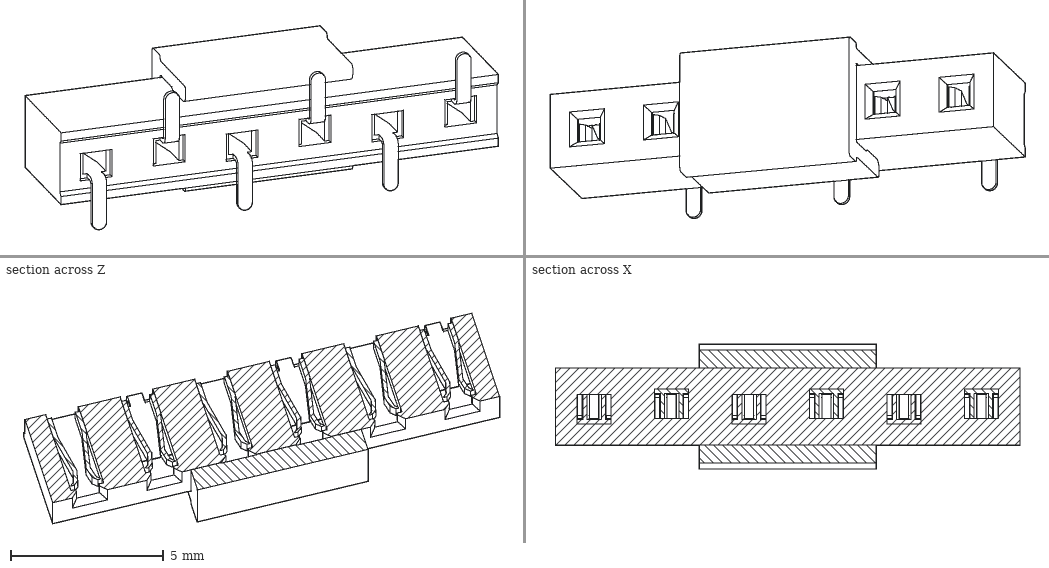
import cadquery as cq
import math


PITCH = 2.54
POSITIONS = 6
ROW_LENGTH = PITCH * POSITIONS

HOUSING_DEPTH = 3.5
HOUSING_HEIGHT = 2.54
RELIEF_DEPTH = 0.12
RELIEF_HALF_HEIGHT = 0.86
FUNNEL_SIZE = 1.2
FUNNEL_DEPTH = 0.21
THROAT_SIZE = FUNNEL_SIZE - 2 * FUNNEL_DEPTH
THROAT_LENGTH = 0.1
CHAMBER_START = FUNNEL_DEPTH + THROAT_LENGTH
CHAMBER_WIDTH = 1.1

SHEET = 0.15
TAIL_WIDTH = 0.5
TAIL_BACK = 3.7
TAIL_REACH = 2.25
BEND_INNER_RADIUS = 0.1
BEND_OUTER_RADIUS = BEND_INNER_RADIUS + SHEET
BASE_INNER_Z = 0.42
BASE_OUTER_Z = BASE_INNER_Z + SHEET
BASE_SETBACK = 0.3
BASE_END = HOUSING_DEPTH - BASE_SETBACK
ARM_FREE_EDGE_Z = -THROAT_SIZE / 2
FLARE_EDGE_Z = 0.3
ARM_SETBACK = 0.15
ARM_TIP_X = CHAMBER_START + ARM_SETBACK
ARM_TIP_Y = CHAMBER_WIDTH / 2 - SHEET
ARM_GAP = 0.3
FLARE_LENGTH = 0.15
FLARE_END_Y = 0.24
PINCH_X = 1.0
ARM_ROOT_X = 2.4

CAP_LENGTH = 5.82
CAP_THICKNESS = 0.81
CAP_HEIGHT = 4.1
CAP_FRONT_RADIUS = 0.15
CAP_BACK_RADIUS = 0.1
CLIP_REACH = 2.48
CLIP_OUTER_Z = 1.86
CLIP_INNER_Z = 1.35
CLIP_OUTER_RADIUS = 0.13
CLIP_LEAD_IN_RADIUS = 0.28
CLIP_OUTER_ROOT_RADIUS = 0.085
CLIP_INNER_ROOT_RADIUS = 0.05
PAD_START = 1.08
PAD_RAMP = 0.15


def extrude_along_row(sketch, length):
    """Extrude an XZ sketch symmetrically about Y = 0."""
    return sketch.extrude(length / 2, both=True)


def row_positions():
    """Yield each contact's Y and the side (+1 or -1 in Z) its tail points to."""
    for index in range(POSITIONS):
        y = (index - (POSITIONS - 1) / 2) * PITCH
        side = 1 if index % 2 else -1
        yield y, side


def place_in_row(shape, y, side):
    """Move a +Z-facing shape to row position y, flipped in Z when its tail points down."""
    if side < 0:
        shape = shape.mirror("XY")
    return shape.translate((0, y, 0))


def make_cavity():
    """Funnel, throat, rear-opening contact chamber and base pocket, for a tail pointing +Z."""
    funnel = (
        cq.Workplane("YZ")
        .rect(FUNNEL_SIZE, FUNNEL_SIZE)
        .workplane(offset=FUNNEL_DEPTH)
        .rect(THROAT_SIZE, THROAT_SIZE)
        .loft(combine=True)
    )
    throat = (
        cq.Workplane("YZ", origin=(FUNNEL_DEPTH, 0, 0))
        .rect(THROAT_SIZE, THROAT_SIZE)
        .extrude(THROAT_LENGTH)
    )
    chamber = (
        cq.Workplane("YZ", origin=(CHAMBER_START, 0, 0))
        .rect(CHAMBER_WIDTH, THROAT_SIZE)
        .extrude(HOUSING_DEPTH - CHAMBER_START)
    )
    base_pocket = cq.Workplane("XY").box(
        HOUSING_DEPTH - PINCH_X, CHAMBER_WIDTH, BASE_OUTER_Z, centered=(False, True, False)
    ).translate((PINCH_X, 0, 0))
    return funnel.union(throat).union(chamber).union(base_pocket)


def make_housing():
    """Long block with a chamfer-sided relief between its two rear feet."""
    half_height = HOUSING_HEIGHT / 2
    relief_x = HOUSING_DEPTH - RELIEF_DEPTH
    foot_z = RELIEF_HALF_HEIGHT + RELIEF_DEPTH
    profile = cq.Workplane("XZ").polyline([
        (0, -half_height),
        (HOUSING_DEPTH, -half_height),
        (HOUSING_DEPTH, -foot_z),
        (relief_x, -RELIEF_HALF_HEIGHT),
        (relief_x, RELIEF_HALF_HEIGHT),
        (HOUSING_DEPTH, foot_z),
        (HOUSING_DEPTH, half_height),
        (0, half_height),
    ]).close()
    housing = extrude_along_row(profile, ROW_LENGTH)
    cavity = make_cavity()
    for y, side in row_positions():
        housing = housing.cut(place_in_row(cavity, y, side))
    return housing


def make_tail():
    """L-bent strip from the contact base out to a full-round solder tail pointing +Z."""
    tail_front = TAIL_BACK - SHEET
    bend_x = TAIL_BACK - BEND_OUTER_RADIUS
    bend_z = BASE_INNER_Z + BEND_OUTER_RADIUS
    diagonal = math.sqrt(0.5)
    outer_mid = (bend_x + BEND_OUTER_RADIUS * diagonal, bend_z - BEND_OUTER_RADIUS * diagonal)
    inner_mid = (bend_x + BEND_INNER_RADIUS * diagonal, bend_z - BEND_INNER_RADIUS * diagonal)
    profile = (
        cq.Workplane("XZ")
        .moveTo(PINCH_X, BASE_INNER_Z)
        .lineTo(bend_x, BASE_INNER_Z)
        .threePointArc(outer_mid, (TAIL_BACK, bend_z))
        .lineTo(TAIL_BACK, TAIL_REACH)
        .lineTo(tail_front, TAIL_REACH)
        .lineTo(tail_front, bend_z)
        .threePointArc(inner_mid, (bend_x, BASE_OUTER_Z))
        .lineTo(PINCH_X, BASE_OUTER_Z)
        .close()
    )
    strip = extrude_along_row(profile, TAIL_WIDTH)
    round_z = TAIL_REACH - TAIL_WIDTH / 2
    outline = (
        cq.Workplane("YZ")
        .moveTo(-TAIL_WIDTH / 2, BASE_INNER_Z)
        .lineTo(TAIL_WIDTH / 2, BASE_INNER_Z)
        .lineTo(TAIL_WIDTH / 2, round_z)
        .threePointArc((0, TAIL_REACH), (-TAIL_WIDTH / 2, round_z))
        .close()
        .extrude(TAIL_BACK)
    )
    return strip.intersect(outline)


def make_arm():
    """Spring arm on the +Y side: steep flared tip, pinch point and straight root."""
    inner_face = [
        (ARM_TIP_X, ARM_TIP_Y),
        (ARM_TIP_X + FLARE_LENGTH, FLARE_END_Y),
        (PINCH_X, ARM_GAP / 2),
        (ARM_ROOT_X, ARM_TIP_Y),
        (BASE_END, ARM_TIP_Y),
    ]
    outer_face = [(x, y + SHEET) for x, y in reversed(inner_face)]
    arm = (
        cq.Workplane("XY", origin=(0, 0, ARM_FREE_EDGE_Z))
        .polyline(inner_face + outer_face)
        .close()
        .extrude(BASE_OUTER_Z - ARM_FREE_EDGE_Z)
    )
    flare_relief = cq.Workplane("XY").box(
        PINCH_X, CHAMBER_WIDTH, BASE_OUTER_Z - FLARE_EDGE_Z, centered=(False, True, False)
    ).translate((0, 0, FLARE_EDGE_Z))
    return arm.cut(flare_relief)


def make_contact(y, side):
    """One contact at row position y, with its tail pointing to the given Z side."""
    base = cq.Workplane("XY").box(
        BASE_END - PINCH_X, CHAMBER_WIDTH, SHEET, centered=(False, True, False)
    ).translate((PINCH_X, 0, BASE_INNER_Z))
    arm = make_arm()
    contact = base.union(make_tail()).union(arm).union(arm.mirror("XZ"))
    return place_in_row(contact, y, side)


def make_clip():
    """Upper cap arm, with a raised pad on its inner face that grips the housing."""
    pad_z = HOUSING_HEIGHT / 2
    pad_flat_start = PAD_START + PAD_RAMP
    profile = cq.Workplane("XZ").polyline([
        (-CAP_THICKNESS / 2, CLIP_OUTER_Z),
        (CLIP_REACH, CLIP_OUTER_Z),
        (CLIP_REACH, pad_z),
        (pad_flat_start, pad_z),
        (PAD_START, CLIP_INNER_Z),
        (-CAP_THICKNESS / 2, CLIP_INNER_Z),
    ]).close()
    clip = extrude_along_row(profile, CAP_LENGTH)
    clip = clip.edges("|Y and >X and >Z").fillet(CLIP_OUTER_RADIUS)
    return clip.edges("|Y and >X and <Z").fillet(CLIP_LEAD_IN_RADIUS)


def make_cap():
    """Pick-up plate over the mating face, held by a clip on each side of the housing."""
    plate = cq.Workplane("XY").box(
        CAP_THICKNESS, CAP_LENGTH, CAP_HEIGHT, centered=(False, True, True)
    ).translate((-CAP_THICKNESS, 0, 0))
    plate = plate.edges("|Y and <X").fillet(CAP_FRONT_RADIUS)
    plate = plate.edges("|Y and >X").fillet(CAP_BACK_RADIUS)
    clip = make_clip()
    cap = plate.union(clip).union(clip.mirror("XY"))
    for root_z, radius in (
        (CLIP_OUTER_Z, CLIP_OUTER_ROOT_RADIUS),
        (CLIP_INNER_Z, CLIP_INNER_ROOT_RADIUS),
    ):
        for side in (-1, 1):
            cap = cap.edges(cq.selectors.NearestToPointSelector((0, 0, side * root_z))).fillet(radius)
    return cap


housing = make_housing()
cap = make_cap()
contacts = [make_contact(y, side) for y, side in row_positions()]

result = cq.Compound.makeCompound([
    housing.val(),
    cap.val(),
    *[contact.val() for contact in contacts],
])